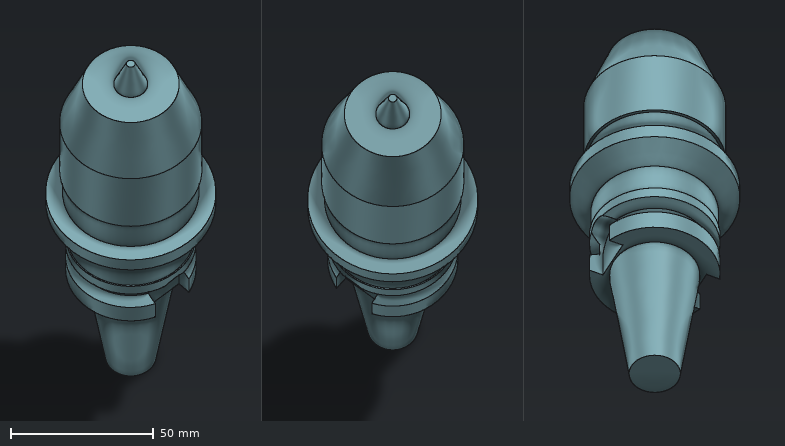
import cadquery as cq

shank_tip_radius = 9.0
shank_radius = 15.8
shank_taper_top = 48.7

flange_bottom = 50.8
flange_radius = 23.0
groove_radius = 19.5
lower_rim_top = 58.6
groove_floor_bottom = 60.8
groove_floor_top = 64.2
upper_rim_bottom = 66.5
upper_rim_top = 70.9

neck_radius = 22.5
neck_top = 82.6
collar_radius = 30.0
collar_bottom = 89.8
collar_top = 95.6

body_radius = 24.0
body_top = 108.7
sleeve_radius = 25.0
sleeve_top = 136.5
nose_radius = 17.0
nose_top = 158.6

point_base_radius = 6.0
point_tip_radius = 1.5
overall_height = 170.4

slot_width = 16.0
slot_top = 67.8
slot_floor_offset = 16.4


def make_body():
    """Revolve the half profile, given as (radius, height), about the Z axis."""
    profile = [
        (0, 0),
        (shank_tip_radius, 0),
        (shank_radius, shank_taper_top),
        (shank_radius, flange_bottom),
        (flange_radius, flange_bottom),
        (flange_radius, lower_rim_top),
        (groove_radius, groove_floor_bottom),
        (groove_radius, groove_floor_top),
        (flange_radius, upper_rim_bottom),
        (flange_radius, upper_rim_top),
        (neck_radius, upper_rim_top),
        (neck_radius, neck_top),
        (collar_radius, collar_bottom),
        (collar_radius, collar_top),
        (body_radius, collar_top),
        (body_radius, body_top),
        (sleeve_radius, body_top),
        (sleeve_radius, sleeve_top),
        (nose_radius, nose_top),
        (point_base_radius, nose_top),
        (point_tip_radius, overall_height),
        (0, overall_height),
    ]
    return cq.Workplane("XZ").polyline(profile).close().revolve(360, (0, 0, 0), (0, 1, 0))


def make_slot_cutter(side):
    """Round-topped slot, open at the flange bottom; side is -1 or +1 along X."""
    half_width = slot_width / 2
    arc_start = slot_top - half_width
    return (
        cq.Workplane("YZ", origin=(side * slot_floor_offset, 0, 0))
        .moveTo(-half_width, flange_bottom)
        .lineTo(-half_width, arc_start)
        .threePointArc((0, slot_top), (half_width, arc_start))
        .lineTo(half_width, flange_bottom)
        .close()
        .extrude(side * flange_radius)
    )


result = make_body()
for side in (-1, 1):
    result = result.cut(make_slot_cutter(side))